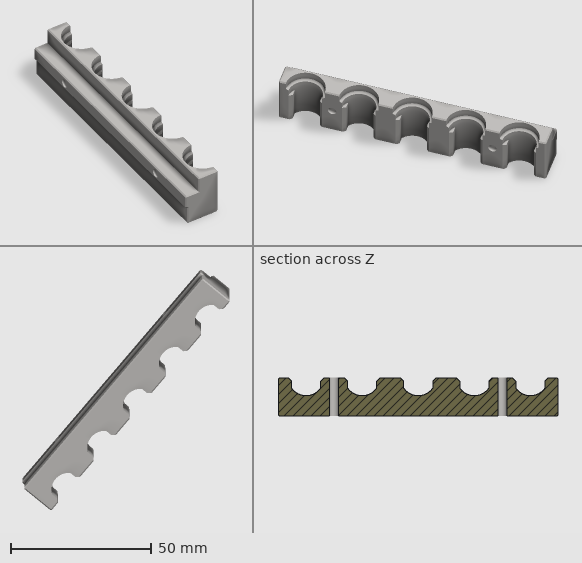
import cadquery as cq
import math

LENGTH = 100.0
DEPTH = 13.7
HEIGHT = 19.0
EDGE_CHAMFER = 0.45

UPPER_DEPTH = 8.25
LIP_PROJECTION = 0.85
LEDGE_Z = 12.9
LIP_BOTTOM_Z = 7.1

SOCKET_COUNT = 5
SOCKET_PITCH = LENGTH / SOCKET_COUNT
UPPER_RADIUS = 7.3
LOWER_RADIUS = 6.3
UPPER_BORE_DEPTH = 3.0
SEAT_ANGLE = 30.0
SEAT_SLOPE = math.tan(math.radians(SEAT_ANGLE))

MOUTH_WIDTH = 10.2
JAW_TOP_Z = 12.9

HOLE_DIAMETER = 3.2
HOLE_INSET = SOCKET_PITCH
HOLE_Z = (LEDGE_Z + LIP_BOTTOM_Z) / 2


def make_bar():
    """Stepped bar with a 45 degree slope under the front lip and chamfered outer edges."""
    lower_front_y = LIP_PROJECTION - DEPTH
    outline = [
        (0, 0),
        (lower_front_y, 0),
        (lower_front_y, LIP_BOTTOM_Z),
        (-DEPTH, LIP_BOTTOM_Z + LIP_PROJECTION),
        (-DEPTH, LEDGE_Z),
        (-UPPER_DEPTH, LEDGE_Z),
        (-UPPER_DEPTH, HEIGHT),
        (0, HEIGHT),
    ]
    bar = cq.Workplane("YZ").polyline(outline).close().extrude(LENGTH)

    end_edges = bar.faces("<X or >X").edges()
    corner_edges = bar.faces("<Z or >Z").edges("|X")
    lip_edge = bar.faces("<Y").edges("|X and >Z")
    return bar.newObject(
        end_edges.vals() + corner_edges.vals() + lip_edge.vals()
    ).chamfer(EDGE_CHAMFER)


def make_socket():
    """Cutting body of one socket, centred on the Z axis."""
    seat_top_z = HEIGHT - UPPER_BORE_DEPTH
    seat_drop = (UPPER_RADIUS - LOWER_RADIUS) * SEAT_SLOPE
    bore = (
        cq.Workplane("YZ")
        .polyline([
            (0, 0),
            (LOWER_RADIUS, 0),
            (LOWER_RADIUS, seat_top_z - seat_drop),
            (UPPER_RADIUS, seat_top_z),
            (UPPER_RADIUS, HEIGHT),
            (0, HEIGHT),
        ])
        .close()
        .revolve(360, (0, 0), (0, 1))
    )
    return bore.cut(make_jaw()).cut(make_jaw().mirror("YZ"))


def make_jaw():
    """Jaw on the +X side of a socket, ramped on top and with a 45 degree lead-in at the back."""
    tip_x = MOUTH_WIDTH / 2
    reach = LOWER_RADIUS - tip_x
    jaw = (
        cq.Workplane("XZ")
        .polyline([
            (tip_x, 0),
            (LOWER_RADIUS, 0),
            (LOWER_RADIUS, JAW_TOP_Z),
            (tip_x, JAW_TOP_Z - reach * SEAT_SLOPE),
        ])
        .close()
        .extrude(LOWER_RADIUS)
    )
    lead_in = (
        cq.Workplane("XY")
        .polyline([(tip_x, 0), (LOWER_RADIUS, 0), (tip_x, -reach)])
        .close()
        .extrude(HEIGHT)
    )
    return jaw.cut(lead_in)


def make_mounting_hole(x):
    """Cutting cylinder of one hole, running front to back at the given x."""
    return (
        cq.Workplane("XZ", origin=(x, 0, HOLE_Z))
        .circle(HOLE_DIAMETER / 2)
        .extrude(DEPTH)
    )


result = make_bar()
socket = make_socket()
for index in range(SOCKET_COUNT):
    result = result.cut(socket.translate(((index + 0.5) * SOCKET_PITCH, 0, 0)))
for hole_x in (HOLE_INSET, LENGTH - HOLE_INSET):
    result = result.cut(make_mounting_hole(hole_x))